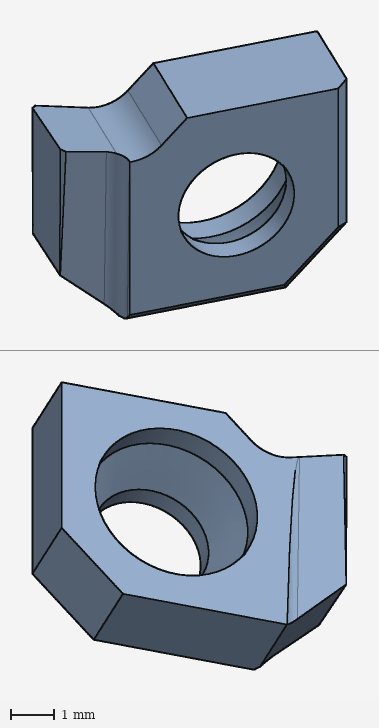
import cadquery as cq
import math

WIDTH = 2.38
LENGTH = 7.0
HEIGHT = 5.5

TIP_HEIGHT = 4.99
TOP_FRONT_Y = 2.995
RAKE_ANGLE = 15.0
CHIP_RADIUS = 1.0
BOTTOM_CHAMFER = 1.5
EDGE_CHAMFER = 0.31

HOLE_Y = 4.2
HOLE_Z = 2.8
HEAD_RADIUS = 1.98
BORE_RADIUS = 1.415
HEAD_DEPTH = 0.68
SEAT_DEPTH = 1.13

RELIEF_ANGLE = 2.0
FRONT_ANGLE = 2.0
FLANK_ANGLE = 3.0
LEFT_GRIND_RADIUS = 0.35
RIGHT_GRIND_RADIUS = 0.405
LEFT_RELIEF_Y = 1.2
NOTCH_Y = 1.595
TIP_WIDTH = 2.01
CORNER_BREAK = 0.11
BREAK_LEAN = 0.3
MARGIN = 0.7


def tan_deg(angle):
    return math.tan(math.radians(angle))


def plate():
    """Side outline through the width, with a rounded chip groove."""
    rake = tan_deg(RAKE_ANGLE)
    groove_y = (TIP_HEIGHT - HEIGHT + TOP_FRONT_Y) / (1 + rake)
    groove_z = TIP_HEIGHT - groove_y * rake
    body = (
        cq.Workplane("YZ")
        .moveTo(0, BOTTOM_CHAMFER)
        .lineTo(BOTTOM_CHAMFER, 0)
        .lineTo(LENGTH - BOTTOM_CHAMFER, 0)
        .lineTo(LENGTH, BOTTOM_CHAMFER)
        .lineTo(LENGTH, HEIGHT)
        .lineTo(TOP_FRONT_Y, HEIGHT)
        .lineTo(groove_y, groove_z)
        .lineTo(0, TIP_HEIGHT)
        .close()
        .extrude(WIDTH)
    )
    groove_edge = cq.selectors.NearestToPointSelector((WIDTH / 2, groove_y, groove_z))
    body = body.edges(groove_edge).fillet(CHIP_RADIUS)
    back_edge = body.faces(">Y").edges(">X")
    bevel_edge = body.edges(
        cq.selectors.NearestToPointSelector((WIDTH, LENGTH - BOTTOM_CHAMFER / 2, BOTTOM_CHAMFER / 2))
    )
    bottom_edge = body.faces("<Z").edges(">X")
    return back_edge.add(bevel_edge).add(bottom_edge).chamfer(EDGE_CHAMFER)


def screw_hole():
    """Bore with a conical seat and a cylindrical head recess on the -X side."""
    seat_end = HEAD_DEPTH + SEAT_DEPTH
    return (
        cq.Workplane("XY")
        .lineTo(0, HEAD_RADIUS)
        .lineTo(HEAD_DEPTH, HEAD_RADIUS)
        .lineTo(seat_end, BORE_RADIUS)
        .lineTo(WIDTH, BORE_RADIUS)
        .lineTo(WIDTH, 0)
        .close()
        .revolve(360, (0, 0, 0), (1, 0, 0))
        .translate((0, HOLE_Y, HOLE_Z))
    )


def leaning_cutter(section, lean):
    """Sweep a section given at tip height up and down, moving by lean in X per unit of drop."""
    top = HEIGHT + MARGIN - TIP_HEIGHT
    bottom = -TIP_HEIGHT - MARGIN
    wire = section.wires().val()
    solid = cq.Solid.extrudeLinear(
        wire.translate(cq.Vector(-lean * top, 0, TIP_HEIGHT + top)),
        [],
        cq.Vector(lean * (top - bottom), 0, bottom - top),
    )
    return cq.Workplane(solid)


def left_flank():
    taper = tan_deg(RELIEF_ANGLE) * tan_deg(RAKE_ANGLE)
    arc_x = -taper * LEFT_RELIEF_Y
    section = (
        cq.Workplane("XY")
        .moveTo(taper * MARGIN, -MARGIN)
        .lineTo(arc_x, LEFT_RELIEF_Y)
        .radiusArc((arc_x - LEFT_GRIND_RADIUS, LEFT_RELIEF_Y + LEFT_GRIND_RADIUS), -LEFT_GRIND_RADIUS)
        .lineTo(-MARGIN, LEFT_RELIEF_Y + LEFT_GRIND_RADIUS)
        .lineTo(-MARGIN, -MARGIN)
        .close()
    )
    return leaning_cutter(section, tan_deg(RELIEF_ANGLE))


def right_flank():
    taper = tan_deg(FLANK_ANGLE)
    section = (
        cq.Workplane("XY")
        .moveTo(TIP_WIDTH + taper * MARGIN, -MARGIN)
        .lineTo(TIP_WIDTH - taper * NOTCH_Y, NOTCH_Y)
        .lineTo(WIDTH + MARGIN, NOTCH_Y)
        .lineTo(WIDTH + MARGIN, -MARGIN)
        .close()
    )
    cutter = leaning_cutter(section, -tan_deg(RELIEF_ANGLE))
    inner_corner = cq.selectors.NearestToPointSelector((TIP_WIDTH, NOTCH_Y, HEIGHT / 2))
    return cutter.edges(inner_corner).fillet(RIGHT_GRIND_RADIUS)


def front_face():
    end_x = WIDTH + MARGIN
    slope = tan_deg(FRONT_ANGLE)
    return (
        cq.Workplane("XY")
        .moveTo(-MARGIN, slope * (-MARGIN - CORNER_BREAK))
        .lineTo(end_x, slope * (end_x - CORNER_BREAK))
        .lineTo(end_x, -MARGIN)
        .lineTo(-MARGIN, -MARGIN)
        .close()
        .extrude(HEIGHT)
    )


def corner_break(corner_x, corner_y, inward):
    """Bevel one vertical tip corner; inward is the X direction into the tip."""
    reach = CORNER_BREAK + MARGIN
    section = (
        cq.Workplane("XY")
        .moveTo(corner_x + inward * reach, corner_y - MARGIN)
        .lineTo(corner_x - inward * MARGIN, corner_y + reach)
        .lineTo(corner_x - inward * MARGIN, corner_y - MARGIN)
        .close()
    )
    return leaning_cutter(section, inward * tan_deg(BREAK_LEAN))


right_corner_y = tan_deg(FRONT_ANGLE) * (TIP_WIDTH - CORNER_BREAK)
result = (
    plate()
    .cut(screw_hole())
    .cut(left_flank())
    .cut(right_flank())
    .cut(front_face())
    .cut(corner_break(0, 0, 1))
    .cut(corner_break(TIP_WIDTH, right_corner_y, -1))
)